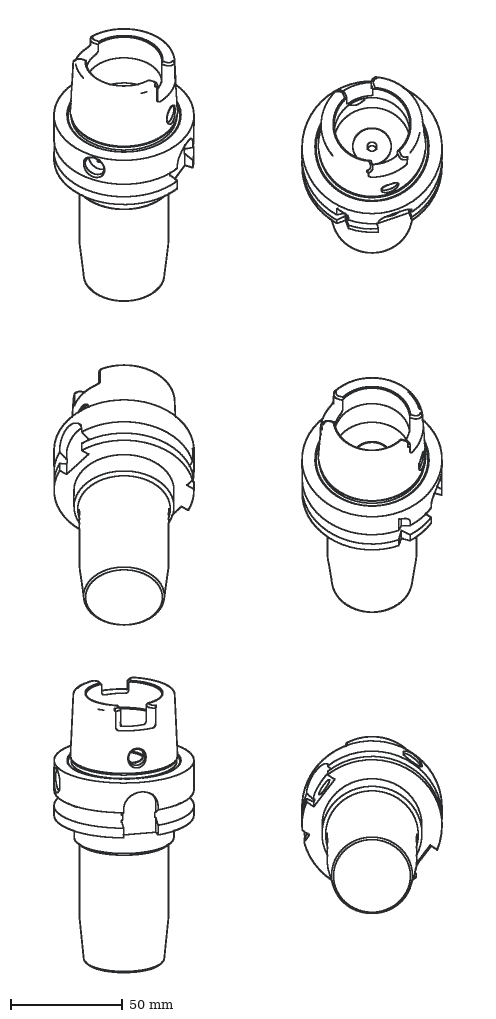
import cadquery as cq
import math

total_length = 126.9
flange_top = 94.9
flange_bottom = 68.9
collar_bottom = 58.4
nose_taper_start = 20.4

flange_radius = 31.5
collar_radius = 22.5
body_radius = 20.0
nose_radius = 18.1
nose_chamfer = 0.9
shank_base_radius = 24.1
shank_top_radius = 22.8
shank_top_rounding = 1.0

collar_fillet = 0.8
collar_cone_bottom = 57.0

neck_radius = 23.7
neck_top = 96.0
shank_base = 97.0
relief_radius = 25.6
relief_depth = 0.5

groove_radius = 27.5
groove_centre = 77.2
groove_floor_width = 2.8
groove_flank_angle = 30.0
groove_fillet = 1.0

bore_radius = 17.0
undercut_radius = 20.0
undercut_top = 114.2
undercut_bottom = 99.1
undercut_shoulder_angle = 30.0
lower_bore_radius = 17.4
floor_fillet = 1.4
bore_floor = 96.5
bore_chamfer = 0.5
tube_seat_radius = 8.6
tube_seat_depth = 0.6
centre_hole_radius = 2.2
centre_hole_depth = 5.1

drive_slot_half_width = 6.2
drive_corner_radius = 3.0
drive_corner_start = 17.8
drive_slot_fillet = 1.5
drive_slot_chamfer = 1.0
drive_slot_chamfer_angle = 45.0
left_drive_depth = 6.0
right_drive_depth = 10.0

cross_hole_radius = 3.8
cross_hole_height = 104.0
cross_hole_chamfer = 0.8

key_slot_half_width = 8.0
key_slot_floor = 26.5
key_slot_arch_height = 82.4
notch_half_width = 6.0
notch_floor = 20.2
notch_wall = 20.0
notch_arch_height = 83.8

key_hole_radius = 4.0
key_hole_depth = 10.2
drill_point_angle = 118.0
chip_hole_radius = 4.7
chip_hole_height = 88.2
chip_hole_depth = 5.1
chip_hole_chamfer = 1.0
chip_vent_radius = 0.8
chip_vent_depth = 1.3


def turned_body():
    """Solid of revolution: nose, body, collar, flange and tapered shank."""
    flank = (flange_radius - groove_radius) * math.tan(math.radians(groove_flank_angle))
    floor_low = groove_centre - groove_floor_width / 2
    floor_high = groove_centre + groove_floor_width / 2
    relief_floor = flange_top - relief_depth
    body = (
        cq.Workplane("YZ")
        .lineTo(nose_radius - nose_chamfer, 0)
        .lineTo(nose_radius, nose_chamfer)
        .lineTo(body_radius, nose_taper_start)
        .lineTo(body_radius, collar_cone_bottom - collar_fillet)
        .radiusArc((body_radius + collar_fillet, collar_cone_bottom), collar_fillet)
        .lineTo(collar_radius, collar_bottom)
        .lineTo(collar_radius, flange_bottom)
        .lineTo(flange_radius, flange_bottom)
        .lineTo(flange_radius, floor_low - flank)
        .lineTo(groove_radius, floor_low)
        .lineTo(groove_radius, floor_high)
        .lineTo(flange_radius, floor_high + flank)
        .lineTo(flange_radius, flange_top)
        .lineTo(relief_radius, flange_top)
        .lineTo(relief_radius - relief_depth, relief_floor)
        .lineTo(neck_radius, relief_floor)
        .lineTo(neck_radius, neck_top)
        .lineTo(shank_base_radius, shank_base)
        .lineTo(shank_top_radius, total_length - shank_top_rounding)
        .radiusArc((shank_top_radius - shank_top_rounding, total_length), -shank_top_rounding)
        .lineTo(0, total_length)
        .close()
        .revolve(360, (0, 0), (0, 1))
    )
    groove_corners = cq.selectors.BoxSelector(
        (-flange_radius, -flange_radius, floor_low - groove_fillet),
        (flange_radius, flange_radius, floor_high + groove_fillet),
    )
    return body.edges("%CIRCLE").edges(groove_corners).fillet(groove_fillet)


def clamping_bore():
    """Chamfered bore with an undercut, tube seat and drilled centre."""
    undercut_fillet = undercut_radius - lower_bore_radius
    shoulder_drop = (undercut_radius - bore_radius) * math.tan(math.radians(undercut_shoulder_angle))
    seat_floor = bore_floor - tube_seat_depth
    hole_floor = seat_floor - centre_hole_depth
    hole_tip = hole_floor - drill_tip(centre_hole_radius)
    return (
        cq.Workplane("XZ")
        .moveTo(0, total_length)
        .lineTo(bore_radius + bore_chamfer, total_length)
        .lineTo(bore_radius, total_length - bore_chamfer)
        .lineTo(bore_radius, undercut_top)
        .lineTo(undercut_radius, undercut_top - shoulder_drop)
        .lineTo(undercut_radius, undercut_bottom + undercut_fillet)
        .radiusArc((lower_bore_radius, undercut_bottom), undercut_fillet)
        .lineTo(lower_bore_radius, bore_floor + floor_fillet)
        .radiusArc((lower_bore_radius - floor_fillet, bore_floor), floor_fillet)
        .lineTo(tube_seat_radius, bore_floor)
        .lineTo(tube_seat_radius, seat_floor)
        .lineTo(centre_hole_radius, seat_floor)
        .lineTo(centre_hole_radius, hole_floor)
        .lineTo(0, hole_tip)
        .close()
        .revolve(360, (0, 0), (0, 1))
    )


def drill_tip(radius):
    """Length of the conical point left by a drill."""
    return radius / math.tan(math.radians(drill_point_angle / 2))


def drive_slot_outline(side, height):
    """Plan shape of a drive slot that flares outwards with rounded corners."""
    flare_x = drive_corner_start + drive_corner_radius
    flare_y = drive_slot_half_width + drive_corner_radius
    return (
        cq.Workplane("XY", origin=(0, 0, height))
        .moveTo(0, -drive_slot_half_width)
        .lineTo(side * drive_corner_start, -drive_slot_half_width)
        .radiusArc((side * flare_x, -flare_y), side * drive_corner_radius)
        .lineTo(side * flange_radius, -flare_y)
        .lineTo(side * flange_radius, flare_y)
        .lineTo(side * flare_x, flare_y)
        .radiusArc((side * drive_corner_start, drive_slot_half_width), side * drive_corner_radius)
        .lineTo(0, drive_slot_half_width)
        .close()
    )


def drive_slot(side, depth):
    """Slot through one shank wall with a filleted floor and chamfered top edges."""
    slot = drive_slot_outline(side, total_length - depth).extrude(depth)
    slot = slot.faces("<Z").edges().fillet(drive_slot_fillet)
    chamfer = drive_slot_outline(side, total_length - drive_slot_chamfer)
    chamfer = chamfer.extrude(drive_slot_chamfer, taper=-drive_slot_chamfer_angle)
    return slot.union(chamfer)


def arched_slot(side, floor, centre_y, half_width, arch_height):
    """Milled slot, open towards the nose, with a round top and a flat floor facing along X."""
    return (
        cq.Workplane("YZ", origin=(side * floor, 0, 0))
        .moveTo(centre_y - half_width, flange_bottom)
        .lineTo(centre_y - half_width, arch_height)
        .threePointArc((centre_y, arch_height + half_width), (centre_y + half_width, arch_height))
        .lineTo(centre_y + half_width, flange_bottom)
        .close()
        .extrude(side * flange_radius)
    )


def cross_hole(side):
    """Hole along X through one shank wall, countersunk where it meets the tapered surface."""
    slope = (shank_base_radius - shank_top_radius) / (total_length - shank_top_rounding - shank_base)
    surface = shank_base_radius - slope * (cross_hole_height - shank_base)
    wide_radius = cross_hole_radius + 2 * cross_hole_chamfer
    return (
        cq.Workplane("XY")
        .lineTo(0, cross_hole_radius)
        .lineTo(side * (surface - cross_hole_chamfer), cross_hole_radius)
        .lineTo(side * (surface + cross_hole_chamfer), wide_radius)
        .lineTo(side * (surface + cross_hole_chamfer), 0)
        .close()
        .revolve(360, (0, 0), (1, 0))
        .translate((0, 0, cross_hole_height))
    )


def key_slot_hole():
    """Blind drilled hole with a conical end in the floor of the -X key slot."""
    return (
        cq.Workplane("XY")
        .moveTo(-flange_radius, 0)
        .lineTo(-flange_radius, key_hole_radius)
        .lineTo(key_hole_depth - key_slot_floor, key_hole_radius)
        .lineTo(key_hole_depth - key_slot_floor + drill_tip(key_hole_radius), 0)
        .close()
        .revolve(360, (0, 0), (1, 0))
        .translate((0, 0, groove_centre))
    )


def chip_hole():
    """Chamfered data chip pocket on the -Y side with a small hole in its floor."""
    mouth = -flange_radius
    floor = mouth + chip_hole_depth
    return (
        cq.Workplane("XY")
        .moveTo(0, mouth)
        .lineTo(chip_hole_radius + chip_hole_chamfer, mouth)
        .lineTo(chip_hole_radius, mouth + chip_hole_chamfer)
        .lineTo(chip_hole_radius, floor)
        .lineTo(chip_vent_radius, floor)
        .lineTo(chip_vent_radius, floor + chip_vent_depth)
        .lineTo(0, floor + chip_vent_depth)
        .close()
        .revolve(360, (0, 0), (0, 1))
        .translate((0, 0, chip_hole_height))
    )


result = turned_body().cut(clamping_bore())
for side, drive_depth in ((-1, left_drive_depth), (1, right_drive_depth)):
    result = result.cut(drive_slot(side, drive_depth))
    result = result.cut(cross_hole(side))
    result = result.cut(
        arched_slot(side, key_slot_floor, 0, key_slot_half_width, key_slot_arch_height)
    )
result = result.cut(
    arched_slot(-1, notch_floor, notch_wall + notch_half_width, notch_half_width, notch_arch_height)
)
result = result.cut(key_slot_hole())
result = result.cut(chip_hole())